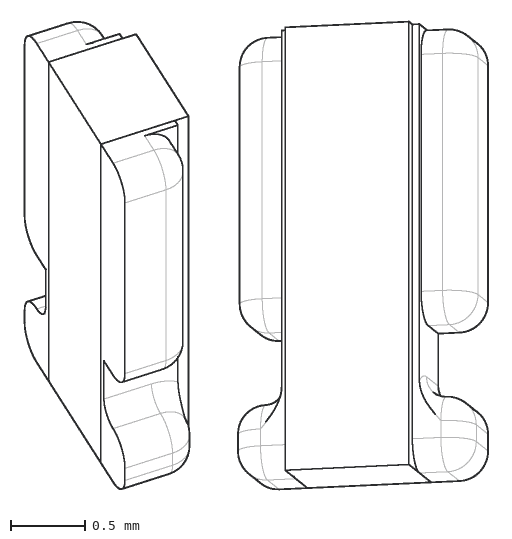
import cadquery as cq
import math

height = 3.05
width = 1.65
core_width = 0.86
core_depth = 0.65

web_thickness = 0.05
web_depth = 0.55
upper_lug_bottom = 1.022
upper_lug_depth = 0.5
lower_lug_height = 0.512
round_radius = 0.198

core_side = core_width / 2
web_side = core_side + web_thickness
outer_side = width / 2

blend_radius = outer_side - round_radius - web_side
straight_depth = web_depth - round_radius


def make_core():
    """Plain rectangular bar between the two rails."""
    return cq.Workplane("XY").box(core_width, core_depth, height, centered=(True, False, False))


def make_lug(bottom, top, depth):
    """Lug on the +X side, rounded on its outer corners and around its back face."""
    lug = (
        cq.Workplane("XY")
        .box(outer_side - core_side, depth, top - bottom, centered=False)
        .translate((core_side, 0, bottom))
    )
    outer_corners = lug.faces(">X").edges("|Y")
    back_rim = lug.faces(">Y").edges("not <X")
    return outer_corners.add(back_rim).fillet(round_radius)


def make_blend_profile():
    """Section of the concave blend, in XZ, with a backing that sinks into the web and the lug."""
    blend_side = web_side + blend_radius
    backing_bottom = lower_lug_height - round_radius / 2
    arc_middle = (
        blend_side - blend_radius * math.sqrt(0.5),
        lower_lug_height + blend_radius * (1 - math.sqrt(0.5)),
    )
    return (
        cq.Workplane("XZ", origin=(0, straight_depth, 0))
        .moveTo(core_side, backing_bottom)
        .lineTo(core_side, lower_lug_height + blend_radius)
        .lineTo(web_side, lower_lug_height + blend_radius)
        .threePointArc(arc_middle, (blend_side, lower_lug_height))
        .lineTo(blend_side, backing_bottom)
        .close()
    )


def make_blend():
    """Blend along the flat top of the lower lug and on over its rounded back edge."""
    turn_axis_height = lower_lug_height - round_radius
    straight_run = make_blend_profile().extrude(straight_depth)
    turned_run = make_blend_profile().revolve(
        90, (0, turn_axis_height, 0), (-1, turn_axis_height, 0)
    )
    depth_limit = cq.Workplane("XY").box(width, web_depth, height, centered=(True, False, False))
    return straight_run.union(turned_run.intersect(depth_limit))


def make_web():
    """Thin strip along the core, its lower back edge rounded in line with the lower lug."""
    web = (
        cq.Workplane("XY")
        .box(web_thickness, web_depth, height, centered=False)
        .translate((core_side, 0, 0))
    )
    return web.faces("<Z").edges(">Y").fillet(round_radius)


def make_right_rail():
    """Web, two lugs and the blend above the lower lug, in one piece."""
    lower_lug = make_lug(0, lower_lug_height, web_depth)
    upper_lug = make_lug(upper_lug_bottom, height, upper_lug_depth)
    return make_web().union(lower_lug).union(make_blend()).union(upper_lug)


core = make_core()
right_rail = make_right_rail()
left_rail = right_rail.mirror("YZ")

result = cq.Compound.makeCompound([core.val(), left_rail.val(), right_rail.val()])